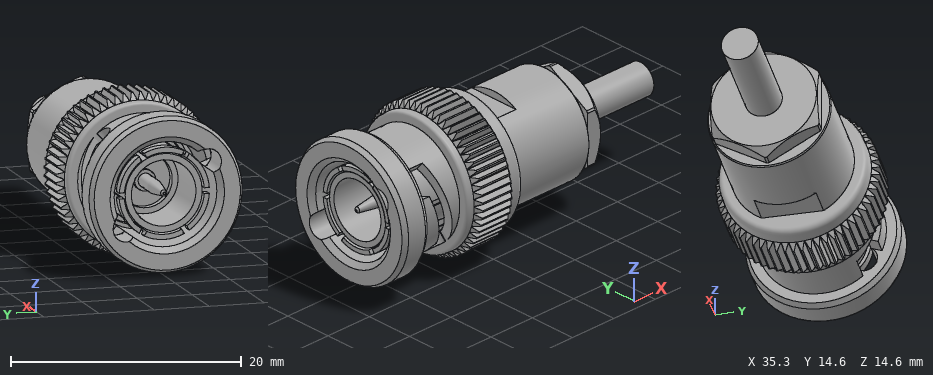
import cadquery as cq
import math

total_length = 35.3

rim_end = 3.05
rim_radius = 6.95
rim_chamfer_x = 0.5
rim_chamfer_r = 0.32
bayonet_radius = 5.72
bore_radius = 4.65
bore_chamfer = 0.53
bore_depth = 8.3
seat_radius = 4.3
seat_depth = 9.18

collar_start = 7.87
collar_end = 14.62
collar_radius = 6.67
collar_front_fillet = 0.32
collar_rear_fillet = 0.53
knurl_start = 8.7
knurl_end = 13.1
knurl_chamfer_x = 0.45
knurl_chamfer_r = 0.65
knurl_radius = 7.3
knurl_root_radius = 6.65
knurl_teeth = 60
knurl_tip_width = 0.15

body_end = 23.8
body_radius = 5.5
body_chamfer = 0.1
flat_end = 17.55
flat_half_distance = 4.75
neck_radius = 4.13
nut_start = 24.25
nut_end = 25.9
nut_half_flats = 4.75
nut_corner_radius = 5.45
nut_chamfer = 0.75
cable_radius = 1.65

lug_angle = 36.0
lug_channel_radius = 1.2
lug_channel_offset = 4.6
slot_low_angle = 21.3
slot_high_angle = 50.5
slot_edge_x = 5.15
slot_width_x = 1.6
slot_twist = 36.82
hole_angle = -46.0
hole_radius = 1.02
hole_x = 6.78
slot_reach = bayonet_radius + 0.35
slot_inner_reach = (bore_radius + seat_radius) / 2

finger_start = 0.9
finger_outer_radius = 3.78
finger_inner_radius = 3.65
finger_lip_radius = 4.1
finger_lip_length = 0.9
slit_width = 0.53
slit_count = 6
slit_end = 8.47
insulator_start = 1.05
insulator_radius = 3.5
insulator_bore_radius = 2.93
insulator_bore_depth = 6.35
insulator_step_radius = 2.4
insulator_step_depth = 7.05
pin_start = 0.9
pin_radius = 0.65
pin_tip_radius = 0.1
pin_tip_length = 0.18
pin_shoulder_radius = 0.3
pin_taper = 2.82
pin_collar_radius = 0.95
pin_collar_length = 0.53


def cylinder(start, end, radius):
    return cq.Workplane("YZ", origin=(start, 0, 0)).circle(radius).extrude(end - start)


def revolve(points):
    """Solid of revolution about X from (x, radius) points."""
    return cq.Workplane("XY").polyline(points).close().revolve(360, (0, 0, 0), (1, 0, 0))


def polar(radius, angle):
    """(Y, Z) of a point at an angle from -Y towards +Z."""
    turn = math.radians(angle)
    return (-radius * math.cos(turn), radius * math.sin(turn))


def sector_sketch(start, low, high, margin=0):
    """Closed ring sector across the bayonet wall at x = start, widened radially by a margin."""
    middle = (low + high) / 2
    inner = slot_inner_reach - margin
    outer = slot_reach + margin
    return (
        cq.Workplane("YZ", origin=(start, 0, 0))
        .moveTo(*polar(inner, low))
        .lineTo(*polar(outer, low))
        .threePointArc(polar(outer, middle), polar(outer, high))
        .lineTo(*polar(inner, high))
        .threePointArc(polar(inner, middle), polar(inner, low))
        .close()
    )


def rim():
    return revolve([
        (0, 0),
        (0, rim_radius - rim_chamfer_r),
        (rim_chamfer_x, rim_radius),
        (rim_end - rim_chamfer_x, rim_radius),
        (rim_end, rim_radius - rim_chamfer_r),
        (rim_end, 0),
    ])


def collar():
    blank = cylinder(collar_start, collar_end, collar_radius)
    blank = blank.faces("<X").edges().fillet(collar_front_fillet)
    return blank.faces(">X").edges().fillet(collar_rear_fillet)


def knurl():
    pitch = 360 / knurl_teeth
    half_tip = math.degrees(knurl_tip_width / 2 / knurl_radius)
    outline = []
    for tooth in range(knurl_teeth):
        root = tooth * pitch
        tip = root + pitch / 2
        outline.append(polar(knurl_root_radius, root))
        outline.append(polar(knurl_radius, tip - half_tip))
        outline.append(polar(knurl_radius, tip + half_tip))
    start = cq.Workplane("YZ", origin=(knurl_start, 0, 0))
    toothed = start.polyline(outline).close().extrude(knurl_end - knurl_start)
    end_radius = knurl_radius - knurl_chamfer_r
    envelope = revolve([
        (knurl_start, 0),
        (knurl_start, end_radius),
        (knurl_start + knurl_chamfer_x, knurl_radius),
        (knurl_end - knurl_chamfer_x, knurl_radius),
        (knurl_end, end_radius),
        (knurl_end, 0),
    ])
    return toothed.intersect(envelope)


def rear_body():
    body = cylinder(collar_end, body_end, body_radius).faces(">X").chamfer(body_chamfer)
    flat_length = flat_end - collar_end
    between_flats = cq.Workplane("XY").box(
        flat_length, 2 * body_radius, 2 * flat_half_distance
    ).translate((collar_end + flat_length / 2, 0, 0))
    return body.intersect(between_flats.union(cylinder(flat_end, body_end, body_radius)))


def nut():
    corner_diameter = 2 * nut_half_flats / math.cos(math.pi / 6)
    hexagon = (
        cq.Workplane("YZ", origin=(nut_start, 0, 0))
        .transformed(rotate=(0, 0, 90))
        .polygon(6, corner_diameter)
        .extrude(nut_end - nut_start)
    )
    envelope = cylinder(nut_start, nut_end, nut_corner_radius).faces(">X").chamfer(nut_chamfer)
    return hexagon.intersect(envelope)


def bore():
    return revolve([
        (0, 0),
        (0, bore_radius + bore_chamfer),
        (bore_chamfer, bore_radius),
        (bore_depth, bore_radius),
        (bore_depth, seat_radius),
        (seat_depth, seat_radius),
        (seat_depth, 0),
    ])


def bayonet_slot():
    channel = (
        cq.Workplane("YZ")
        .center(*polar(lug_channel_offset, lug_angle))
        .circle(lug_channel_radius)
        .extrude(rim_end)
    )
    entry_length = slot_edge_x - slot_low_angle / slot_twist - rim_end
    entry = sector_sketch(rim_end, slot_low_angle, slot_high_angle).extrude(entry_length)
    front_edge_at_entry = (slot_edge_x - rim_end) * slot_twist
    rear_edge_at_entry = front_edge_at_entry + slot_width_x * slot_twist
    helix_length = collar_start - rim_end
    helix = sector_sketch(rim_end, front_edge_at_entry, rear_edge_at_entry).twistExtrude(
        helix_length, helix_length * slot_twist
    )
    limit = sector_sketch(rim_end, hole_angle, slot_high_angle, margin=0.35).extrude(helix_length)
    hole = (
        cq.Workplane("XZ")
        .center(hole_x, 0)
        .circle(hole_radius)
        .extrude(slot_reach)
        .cut(cylinder(0, collar_end, slot_inner_reach))
        .rotate((0, 0, 0), (1, 0, 0), -hole_angle)
    )
    return channel, entry.union(helix.intersect(limit)).clean(), hole


def fingers():
    lip_end = finger_start + finger_lip_length
    ring = revolve([
        (finger_start, finger_inner_radius),
        (finger_start, finger_lip_radius),
        (lip_end, finger_lip_radius),
        (lip_end, finger_outer_radius),
        (seat_depth, finger_outer_radius),
        (seat_depth, finger_inner_radius),
    ])
    slit_length = slit_end - finger_start
    for index in range(slit_count // 2):
        slit = (
            cq.Workplane("XY")
            .box(slit_length, 2 * seat_radius, slit_width)
            .translate((finger_start + slit_length / 2, 0, 0))
            .rotate((0, 0, 0), (1, 0, 0), index * 360 / slit_count)
        )
        ring = ring.cut(slit)
    return ring


def insulator():
    return revolve([
        (insulator_start, insulator_bore_radius),
        (insulator_start, insulator_radius),
        (seat_depth, insulator_radius),
        (seat_depth, 0),
        (insulator_step_depth, 0),
        (insulator_step_depth, insulator_step_radius),
        (insulator_bore_depth, insulator_step_radius),
        (insulator_bore_depth, insulator_bore_radius),
    ])


def pin():
    collar_front = insulator_step_depth - pin_collar_length
    return revolve([
        (pin_start, 0),
        (pin_start, pin_tip_radius),
        (pin_start + pin_tip_length, pin_shoulder_radius),
        (pin_start + pin_taper, pin_radius),
        (collar_front, pin_radius),
        (collar_front, pin_collar_radius),
        (seat_depth, pin_collar_radius),
        (seat_depth, 0),
    ])


shell = rim().union(cylinder(rim_end, collar_start, bayonet_radius)).union(collar()).union(knurl())
shell = shell.cut(bore())
for turn in (0, 180):
    for cutter in bayonet_slot():
        shell = shell.cut(cutter.rotate((0, 0, 0), (1, 0, 0), turn))

result = (
    shell.union(rear_body())
    .union(cylinder(body_end, nut_start, neck_radius))
    .union(nut())
    .union(cylinder(nut_end, total_length, cable_radius))
    .union(fingers())
    .union(insulator())
    .union(pin())
)